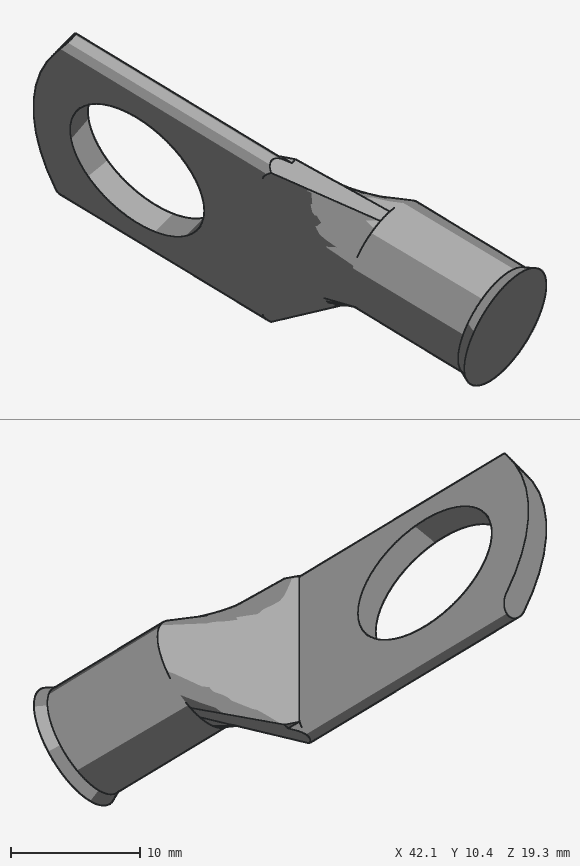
import cadquery as cq
import math

total_length = 42.1

palm_length = 22.45
palm_width = 19.3
palm_thickness = 2.27
tip_radius = 17.7
hole_center_x = 10.15
hole_diameter = 13.1

barrel_start_x = 30.35
barrel_diameter = 9.47
barrel_radius = barrel_diameter / 2
flare_start_x = 41.15
flare_diameter = 10.4
flare_radius = flare_diameter / 2
axis_y = flare_radius
seam_half_height = 0.6


def section_at(x):
    """Sketch plane facing +X, with local axes Y and Z."""
    return cq.Workplane("YZ").workplane(offset=x)


def palm_section():
    """Flat strip with fully rounded long edges."""
    edge_z = palm_width / 2
    flat_z = edge_z - palm_thickness / 2
    mid_y = palm_thickness / 2
    return (
        section_at(0)
        .moveTo(palm_thickness, -flat_z)
        .lineTo(palm_thickness, flat_z)
        .threePointArc((mid_y, edge_z), (0, flat_z))
        .lineTo(0, -flat_z)
        .threePointArc((mid_y, -edge_z), (palm_thickness, -flat_z))
        .close()
    )


def barrel_section(plane):
    """Circle split into four arcs that pair with the four sides of the square-edged strip."""
    seam_z = math.sqrt(barrel_radius**2 - seam_half_height**2)
    front_y = axis_y + seam_half_height
    back_y = axis_y - seam_half_height
    return (
        plane.moveTo(front_y, -seam_z)
        .threePointArc((axis_y + barrel_radius, 0), (front_y, seam_z))
        .threePointArc((axis_y, barrel_radius), (back_y, seam_z))
        .threePointArc((axis_y - barrel_radius, 0), (back_y, -seam_z))
        .threePointArc((axis_y, -barrel_radius), (front_y, -seam_z))
        .close()
    )


def make_palm():
    strip = palm_section().extrude(palm_length)
    tip_disc = cq.Workplane("XZ").center(tip_radius, 0).circle(tip_radius).extrude(-palm_thickness)
    hole = (
        cq.Workplane("XZ")
        .center(hole_center_x, 0)
        .circle(hole_diameter / 2)
        .extrude(-palm_thickness)
    )
    return strip.intersect(tip_disc).cut(hole)


def trim_envelope(length):
    """Palm round carried onto the transition: it ends in a 45 degree tangent, then rises along Y."""
    edge_radius = palm_thickness / 2
    edge_z = palm_width / 2
    flat_z = edge_z - edge_radius
    tangent_offset = edge_radius * math.sqrt(0.5)
    tangent_y = edge_radius + tangent_offset
    tangent_z = flat_z + tangent_offset
    knee_z = tangent_z - (palm_thickness - tangent_y)
    top_y = axis_y + flare_radius
    return (
        section_at(palm_length)
        .moveTo(0, -flat_z)
        .lineTo(0, flat_z)
        .threePointArc((edge_radius, edge_z), (tangent_y, tangent_z))
        .lineTo(palm_thickness, knee_z)
        .lineTo(top_y, knee_z)
        .lineTo(top_y, -knee_z)
        .lineTo(palm_thickness, -knee_z)
        .lineTo(tangent_y, -tangent_z)
        .threePointArc((edge_radius, -edge_z), (0, -flat_z))
        .close()
        .extrude(length)
    )


def make_transition():
    """Ruled loft from a square-edged strip to the barrel, with its corners trimmed."""
    mid_y = palm_thickness / 2
    length = barrel_start_x - palm_length
    square_end = section_at(palm_length).center(mid_y, 0).rect(palm_thickness, palm_width)
    barrel_plane = square_end.center(-mid_y, 0).workplane(offset=length)
    loft = barrel_section(barrel_plane).loft(ruled=True)
    return loft.intersect(trim_envelope(length))


def make_barrel():
    """Straight barrel ending in a conical flare."""
    return (
        cq.Workplane("XY")
        .moveTo(barrel_start_x, axis_y)
        .lineTo(barrel_start_x, axis_y + barrel_radius)
        .lineTo(flare_start_x, axis_y + barrel_radius)
        .lineTo(total_length, axis_y + flare_radius)
        .lineTo(total_length, axis_y)
        .close()
        .revolve(360, (0, axis_y, 0), (1, axis_y, 0))
    )


palm_and_transition = make_palm().union(make_transition(), clean=False)
result = palm_and_transition.union(make_barrel(), clean=False)